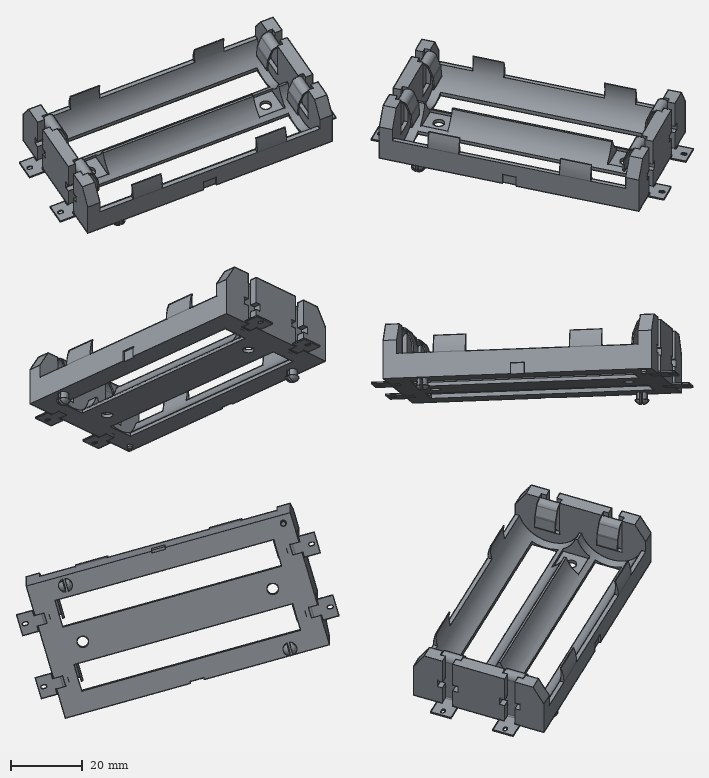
import cadquery as cq
import math

housing_width = 39.6
housing_length = 76.7
overall_length = 86.4
end_height = 16.0
overall_height = 19.3
wall_height = 7.0
end_thickness = 3.9
end_chamfer_x = 3.3
end_chamfer_z = 5.2
half_length = housing_length / 2
inner_length = housing_length - 2 * end_thickness

cell_x = 9.4
trough_radius = 9.5
trough_floor = 0.3
trough_axis_z = trough_radius + trough_floor
window_x = 9.6
window_width = 7.95
window_end_margin = 2.7

clip_length = 9.2
clip_y = 19.45
clip_top = 11.9
clip_radius = 13.8

mount_y = 27.6
pad_size = 8.0
pad_floor = 1.0
screw_hole_diameter = 3.2

leg_x = 17.5
leg_diameter = 3.0
leg_length = 2.1
leg_head_diameter = 3.9
leg_slit = 0.8
leg_dome_excess = 0.04
leg_head_height = overall_height - end_height - leg_length + leg_dome_excess

locator_y = 35.7
locator_diameter = 1.6
locator_length = 1.0
locator_chamfer_height = 0.4
locator_chamfer_width = 0.2

notch_length = 4.0
notch_height = 3.1
notch_depth = 0.5

contact_x = cell_x
sheet = 0.4
contact_width = 6.2
neck_width = contact_width / 2
plate_setback = 2.25
pocket_floor = 4.15
grip_bottom = 5.9
grip_top = 8.0

foot_bend_radius = 0.3
crown_radius = 1.8
crown_base = 13.75
spring_tilt = 22.0
spring_length = 3.1
tip_tilt = 5.0
tip_bend_radius = 0.9
tip_length = 3.4
curl_radius = 0.2
tab_clearance = 0.3
tab_hole_length = 1.6
tab_hole_width = 1.0
tab_hole_inset = 1.6


def block(x_range, y_range, z_range):
    """Box given by its limits along each axis."""
    (x0, x1), (y0, y1), (z0, z1) = x_range, y_range, z_range
    return cq.Workplane("XY").box(x1 - x0, y1 - y0, z1 - z0, centered=False).translate((x0, y0, z0))


def centred(x, width):
    """Limits of a span of the given width centred on x."""
    return (x - width / 2, x + width / 2)


def end_blocks_and_walls():
    half_width = housing_width / 2
    body = (
        cq.Workplane("XZ")
        .moveTo(-half_width, 0)
        .lineTo(half_width, 0)
        .lineTo(half_width, end_height - end_chamfer_z)
        .lineTo(half_width - end_chamfer_x, end_height)
        .lineTo(-half_width + end_chamfer_x, end_height)
        .lineTo(-half_width, end_height - end_chamfer_z)
        .close()
        .extrude(half_length, both=True)
    )
    return body.cut(block(centred(0, housing_width), centred(0, inner_length), (wall_height, end_height)))


def clip(side, y):
    """Clip rising flush from a side wall and leaning inward; the trough later trims its inner face."""
    outer_x = housing_width / 2

    def lean(z):
        return outer_x - clip_radius + math.sqrt(clip_radius**2 - (z - wall_height) ** 2)

    return (
        cq.Workplane("XZ", origin=(0, y, 0))
        .moveTo(side * cell_x, wall_height)
        .lineTo(side * outer_x, wall_height)
        .threePointArc(
            (side * lean((wall_height + clip_top) / 2), (wall_height + clip_top) / 2),
            (side * lean(clip_top), clip_top),
        )
        .lineTo(side * cell_x, clip_top)
        .close()
        .extrude(clip_length / 2, both=True)
    )


def trough(x):
    return (
        cq.Workplane("XZ", origin=(x, 0, trough_axis_z))
        .circle(trough_radius)
        .extrude(inner_length / 2, both=True)
    )


def floor_window(x):
    length = inner_length - 2 * window_end_margin
    return block(centred(x, window_width), centred(0, length), (0, wall_height))


def screw_pad(y):
    """Square recess across the centre ridge with a screw hole in its floor."""
    recess = block(centred(0, pad_size), centred(y, pad_size), (pad_floor, wall_height))
    hole = cq.Workplane("XY").center(0, y).circle(screw_hole_diameter / 2).extrude(pad_floor)
    return recess.union(hole)


def snap_leg(x, y):
    """Split leg with a domed head below the housing."""
    shank_radius = leg_diameter / 2
    head_radius = leg_head_diameter / 2
    tip_z = -leg_length - leg_head_height
    dome_radius = (head_radius**2 + leg_head_height**2) / (2 * leg_head_height)
    mid_angle = math.asin(head_radius / dome_radius) / 2
    dome_centre_z = tip_z + dome_radius
    dome_mid = (dome_radius * math.sin(mid_angle), dome_centre_z - dome_radius * math.cos(mid_angle))
    leg = (
        cq.Workplane("XZ")
        .lineTo(shank_radius, 0)
        .lineTo(shank_radius, -leg_length)
        .lineTo(head_radius, -leg_length)
        .threePointArc(dome_mid, (0, tip_z))
        .close()
        .revolve(360, (0, 0, 0), (0, 1, 0))
    )
    leg = leg.cut(block(centred(0, leg_head_diameter), centred(0, leg_slit), (tip_z, 0)))
    return leg.translate((x, y, 0))


def locator_pin(x, y):
    radius = locator_diameter / 2
    return (
        cq.Workplane("XZ")
        .lineTo(radius, 0)
        .lineTo(radius, locator_chamfer_height - locator_length)
        .lineTo(radius - locator_chamfer_width, -locator_length)
        .lineTo(0, -locator_length)
        .close()
        .revolve(360, (0, 0, 0), (0, 1, 0))
        .translate((x, y, 0))
    )


def side_notch(side):
    outer_x = side * housing_width / 2
    return block(centred(outer_x, 2 * notch_depth), centred(0, notch_length), (0, notch_height))


def contact_opening():
    """Slot, pocket and grip window for one contact in the +Y end block, centred on X = 0."""
    shoulder_y = half_length - plate_setback
    neck = block(centred(0, neck_width), (shoulder_y - sheet, half_length), (0, end_height))
    pocket = block(
        centred(0, contact_width),
        (half_length - end_thickness, shoulder_y),
        (pocket_floor, end_height),
    )
    grip = block(centred(0, contact_width), (shoulder_y, half_length), (grip_bottom, grip_top))
    return neck.union(pocket).union(grip)


def sheet_outline(start, heading, moves):
    """
    Closed YZ outline of a bent sheet. Its middle line starts at a point and heading (degrees).
    Each move is (length, 0) for a straight run or (inside radius, turn) for a bend;
    positive turns go anticlockwise.
    """
    y, z = start
    left = []
    right = []

    def both_sides(cy, cz, angle):
        ny = -math.sin(math.radians(angle)) * sheet / 2
        nz = math.cos(math.radians(angle)) * sheet / 2
        return (cy + ny, cz + nz), (cy - ny, cz - nz)

    first_left, first_right = both_sides(y, z, heading)
    for size, turn in moves:
        middle = None
        if turn == 0:
            y += size * math.cos(math.radians(heading))
            z += size * math.sin(math.radians(heading))
        else:
            radius = math.copysign(size + sheet / 2, turn)
            centre_y = y - radius * math.sin(math.radians(heading))
            centre_z = z + radius * math.cos(math.radians(heading))
            stations = []
            for angle in (heading + turn / 2, heading + turn):
                y = centre_y + radius * math.sin(math.radians(angle))
                z = centre_z - radius * math.cos(math.radians(angle))
                stations.append(both_sides(y, z, angle))
            middle = stations[0]
            heading += turn
        end = both_sides(y, z, heading)
        left.append((middle and middle[0], end[0]))
        right.append((middle and middle[1], end[1]))

    outline = cq.Workplane("YZ").moveTo(*first_left)
    for middle, end in left:
        outline = outline.threePointArc(middle, end) if middle else outline.lineTo(*end)
    outline = outline.lineTo(*right[-1][1])
    right_starts = [first_right] + [end for _, end in right[:-1]]
    for (middle, _), end in zip(reversed(right), reversed(right_starts)):
        outline = outline.threePointArc(middle, end) if middle else outline.lineTo(*end)
    return outline.close()


def contact_at_plus_y():
    """Solder tab, neck, plate and bowed spring bent from one strip, centred on X = 0."""
    plate_y = half_length - plate_setback
    tab_end = overall_length / 2
    foot_bend_top = foot_bend_radius + sheet
    moves = [
        (tab_end - plate_y - foot_bend_radius, 0),
        (foot_bend_radius, -90),
        (crown_base - foot_bend_top, 0),
        (crown_radius - sheet, 180 - spring_tilt),
        (spring_length, 0),
        (tip_bend_radius, spring_tilt - tip_tilt),
        (tip_length, 0),
        (curl_radius, 90),
    ]
    outline = sheet_outline((tab_end, sheet / 2), 180, moves)
    body = outline.extrude(contact_width / 2, both=True)

    side_width = (contact_width - neck_width) / 2
    for side in (-1, 1):
        side_x = side * (neck_width + side_width) / 2
        body = body.cut(
            block(
                centred(side_x, side_width),
                (plate_y - sheet, half_length + tab_clearance),
                (0, pocket_floor),
            )
        )
    tab_hole = (
        cq.Workplane("XY")
        .center(0, tab_end - tab_hole_inset)
        .slot2D(tab_hole_length, tab_hole_width, 90)
        .extrude(sheet)
    )
    return body.cut(tab_hole)


def at_contact_place(shape, x, end):
    """Move a shape made for the +Y end to a contact place at either end."""
    turned = shape if end > 0 else shape.rotate((0, 0, 0), (0, 0, 1), 180)
    return turned.translate((x, 0, 0))


contact_places = [(side * contact_x, end) for side in (-1, 1) for end in (-1, 1)]


def make_housing():
    body = end_blocks_and_walls()
    for side in (-1, 1):
        for end in (-1, 1):
            body = body.union(clip(side, end * clip_y))
    for side in (-1, 1):
        body = body.cut(trough(side * cell_x))
        body = body.cut(floor_window(side * window_x))
        body = body.cut(side_notch(side))
        body = body.cut(screw_pad(side * mount_y))
        body = body.union(snap_leg(side * leg_x, -side * mount_y))
    body = body.union(locator_pin(leg_x, locator_y))
    for x, end in contact_places:
        body = body.cut(at_contact_place(contact_opening(), x, end))
    return body


housing = make_housing()
contacts = [at_contact_place(contact_at_plus_y(), x, end) for x, end in contact_places]

result = cq.Compound.makeCompound([housing.val(), *[contact.val() for contact in contacts]])